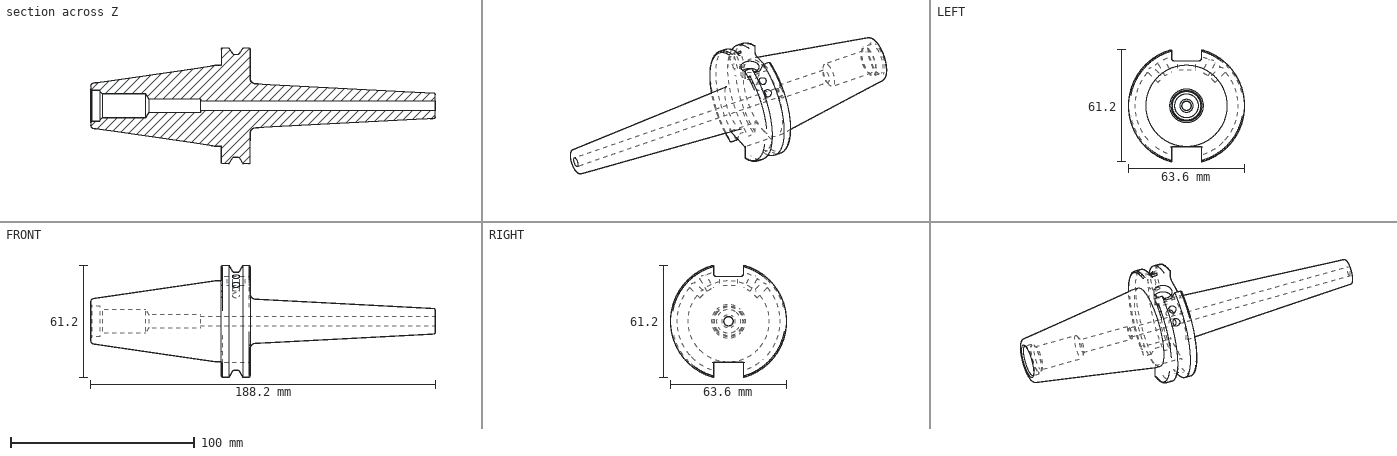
import cadquery as cq
import math

TOLERANCE = 1e-3

TAPER_LENGTH = 68.25
NOSE_X = 120.0
FLANGE_BACK_X = 3.0
FLANGE_FRONT_X = 18.9
GROOVE_X = 11.1

GAUGE_RADIUS = 44.45 / 2
TAPER_RATIO = 7 / 24
TAPER_END_RADIUS = GAUGE_RADIUS - TAPER_LENGTH * TAPER_RATIO / 2
TAPER_END_FILLET = 1.8

FLANGE_RADIUS = 63.55 / 2
FLANGE_FACE_FILLET = 0.8
GROOVE_FLOOR_RADIUS = 56.25 / 2
GROOVE_FLOOR_HALF_WIDTH = 1.6
GROOVE_FLANK_ANGLE = 60.0
GROOVE_HALF_WIDTH = GROOVE_FLOOR_HALF_WIDTH + (FLANGE_RADIUS - GROOVE_FLOOR_RADIUS) / math.tan(
    math.radians(GROOVE_FLANK_ANGLE)
)
GROOVE_FILLET = 1.3

NOSE_TIP_RADIUS = 7.0
NOSE_HALF_ANGLE = 3.0
NOSE_ROOT_RADIUS = NOSE_TIP_RADIUS + (NOSE_X - FLANGE_FRONT_X) * math.tan(math.radians(NOSE_HALF_ANGLE))
NOSE_ROOT_FILLET = 2.8
NOSE_TIP_FILLET = 1.0

SLOT_WIDTH = 16.1
SLOT_WALL_FILLET = 0.4
SLOT_FLOOR_FILLET = 1.1
UPPER_SLOT_FLOOR_Z = 24.6
LOWER_SLOT_FLOOR_Z = -22.5

POCKET_DIAMETER = 10.0
POCKET_DEPTH = 5.0

GROOVE_HOLE_DIAMETER = 4.0
GROOVE_HOLE_DEPTH = 8.0
GROOVE_HOLE_ANGLES = (-45, -30, 30, 45)

MOUTH_RADIUS = 9.2
COUNTERBORE_RADIUS = 8.4
COUNTERBORE_DEPTH = 5.0
THREAD_CHAMFER_RADIUS = 7.8
THREAD_CORE_RADIUS = 6.5
THREAD_DEPTH = 30.0
DRILL_TIP_ANGLE = 59.0
CLEARANCE_RADIUS = 3.6
CLEARANCE_DEPTH = 60.0
THROUGH_RADIUS = 2.5


def revolve_about_axis(points):
    """Solid of revolution about X from (x, radius) points."""
    return cq.Workplane("XZ").polyline(points).close().revolve(360, (0, 0, 0), (1, 0, 0))


def circle_at(x, radius):
    """Selector box for circular edges at the given station, no larger than the given radius."""
    reach = radius + TOLERANCE
    low_corner = (x - TOLERANCE, -reach, -reach)
    high_corner = (x + TOLERANCE, reach, reach)
    return cq.selectors.BoxSelector(low_corner, high_corner, True)


def make_body():
    body = revolve_about_axis(
        [
            (-TAPER_LENGTH, 0),
            (-TAPER_LENGTH, TAPER_END_RADIUS),
            (0, GAUGE_RADIUS),
            (FLANGE_BACK_X, GAUGE_RADIUS),
            (FLANGE_BACK_X, FLANGE_RADIUS),
            (GROOVE_X - GROOVE_HALF_WIDTH, FLANGE_RADIUS),
            (GROOVE_X - GROOVE_FLOOR_HALF_WIDTH, GROOVE_FLOOR_RADIUS),
            (GROOVE_X + GROOVE_FLOOR_HALF_WIDTH, GROOVE_FLOOR_RADIUS),
            (GROOVE_X + GROOVE_HALF_WIDTH, FLANGE_RADIUS),
            (FLANGE_FRONT_X, FLANGE_RADIUS),
            (FLANGE_FRONT_X, NOSE_ROOT_RADIUS),
            (NOSE_X, NOSE_TIP_RADIUS),
            (NOSE_X, 0),
        ]
    )
    body = body.edges(circle_at(-TAPER_LENGTH, TAPER_END_RADIUS)).fillet(TAPER_END_FILLET)
    body = body.edges(circle_at(NOSE_X, NOSE_TIP_RADIUS)).fillet(NOSE_TIP_FILLET)
    body = body.edges(circle_at(FLANGE_FRONT_X, NOSE_ROOT_RADIUS)).fillet(NOSE_ROOT_FILLET)
    for side in (-1, 1):
        floor_x = GROOVE_X + side * GROOVE_FLOOR_HALF_WIDTH
        body = body.edges(circle_at(floor_x, GROOVE_FLOOR_RADIUS)).fillet(GROOVE_FILLET)
    return body


def make_bore():
    mouth_x = -TAPER_LENGTH
    chamfer = MOUTH_RADIUS - COUNTERBORE_RADIUS
    thread_start = mouth_x + COUNTERBORE_DEPTH
    thread_end = mouth_x + THREAD_DEPTH
    cone = (THREAD_CORE_RADIUS - CLEARANCE_RADIUS) / math.tan(math.radians(DRILL_TIP_ANGLE))
    return revolve_about_axis(
        [
            (mouth_x, 0),
            (mouth_x, MOUTH_RADIUS),
            (mouth_x + chamfer, COUNTERBORE_RADIUS),
            (thread_start, COUNTERBORE_RADIUS),
            (thread_start, THREAD_CHAMFER_RADIUS),
            (thread_start + THREAD_CHAMFER_RADIUS - THREAD_CORE_RADIUS, THREAD_CORE_RADIUS),
            (thread_end, THREAD_CORE_RADIUS),
            (thread_end + cone, CLEARANCE_RADIUS),
            (mouth_x + CLEARANCE_DEPTH, CLEARANCE_RADIUS),
            (mouth_x + CLEARANCE_DEPTH, THROUGH_RADIUS),
            (NOSE_X, THROUGH_RADIUS),
            (NOSE_X, 0),
        ]
    )


def make_slot(floor_z):
    """Drive slot running along X through the flange, open away from the axis."""
    outward = math.copysign(1, floor_z)
    return (
        cq.Workplane("XY", origin=((FLANGE_BACK_X + FLANGE_FRONT_X) / 2, 0, floor_z))
        .rect(FLANGE_FRONT_X - FLANGE_BACK_X, SLOT_WIDTH)
        .extrude(outward * FLANGE_RADIUS)
    )


def make_upper_slot():
    return make_slot(UPPER_SLOT_FLOOR_Z).edges("|X and <Z").fillet(SLOT_FLOOR_FILLET)


def distance_from_axis(point):
    return math.hypot(point.y, point.z)


def is_slot_wall_edge(edge):
    """True where a slot wall meets the flange rim or the groove."""
    box = edge.BoundingBox()
    middle = edge.positionAt(0.5)
    in_wall = box.ylen < TOLERANCE and abs(abs(middle.y) - SLOT_WIDTH / 2) < TOLERANCE
    across_face = box.xlen < TOLERANCE
    beyond_floor = distance_from_axis(middle) > GROOVE_FLOOR_RADIUS - TOLERANCE
    return in_wall and beyond_floor and not across_face


def is_face_outline_edge(edge):
    """True on the outline of a flange face, save the lower slot floor, which nearly touches the collar."""
    box = edge.BoundingBox()
    on_face = any(
        abs(box.xmin - face_x) + abs(box.xmax - face_x) < TOLERANCE
        for face_x in (FLANGE_BACK_X, FLANGE_FRONT_X)
    )
    beyond_lower_floor = distance_from_axis(edge.positionAt(0.5)) > -LOWER_SLOT_FLOOR_Z + TOLERANCE
    return on_face and beyond_lower_floor


def fillet_matching_edges(body, matches, radius):
    edges = [edge for edge in body.edges().vals() if matches(edge)]
    return body.newObject(edges).fillet(radius)


def make_pocket():
    return (
        cq.Workplane("XY", origin=(GROOVE_X, 0, UPPER_SLOT_FLOOR_Z))
        .circle(POCKET_DIAMETER / 2)
        .extrude(-POCKET_DEPTH)
    )


def make_groove_hole(angle):
    return (
        cq.Workplane("XY", origin=(GROOVE_X, 0, GROOVE_FLOOR_RADIUS - GROOVE_HOLE_DEPTH))
        .circle(GROOVE_HOLE_DIAMETER / 2)
        .extrude(2 * GROOVE_HOLE_DEPTH)
        .rotate((0, 0, 0), (1, 0, 0), angle)
    )


result = make_body().cut(make_upper_slot()).cut(make_slot(LOWER_SLOT_FLOOR_Z))
result = fillet_matching_edges(result, is_slot_wall_edge, SLOT_WALL_FILLET)
result = fillet_matching_edges(result, is_face_outline_edge, FLANGE_FACE_FILLET)
result = result.cut(make_bore()).cut(make_pocket())
for hole_angle in GROOVE_HOLE_ANGLES:
    result = result.cut(make_groove_hole(hole_angle))